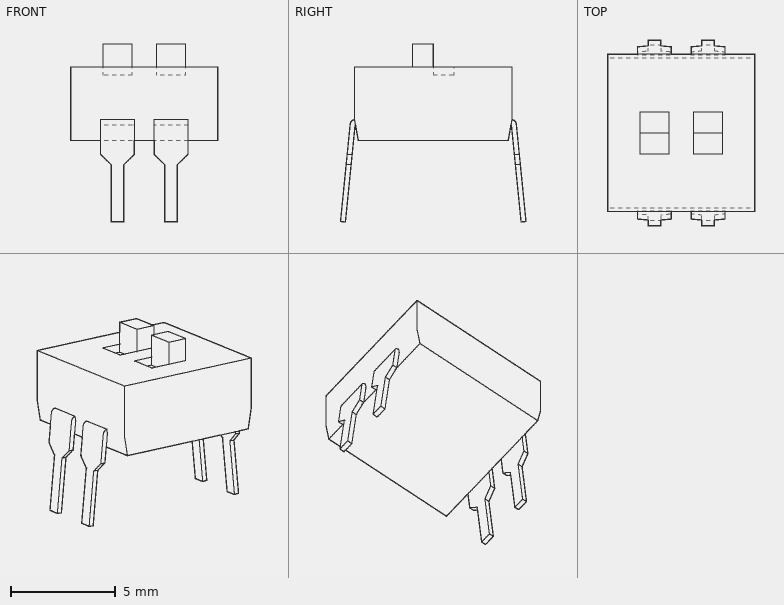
import cadquery as cq
import math

pin_span = 8.85
total_height = 8.5

body_width = 7.01
body_length = 7.505
body_height = 3.51
knob_height = 1.1
taper_height = 1.0
taper_inset = 0.18
body_top = total_height - knob_height
body_bottom = body_top - body_height
taper_top = body_bottom + taper_height

pitch = 2.55
knob_width = 1.4
slot_length = 2.0
slot_depth = 0.4
knob_length = slot_length / 2
switch_positions = (-pitch / 2, pitch / 2)

pin_thickness = 0.25
pin_tilt = math.radians(5.7)
shoulder_width = 1.62
tail_width = 0.6
shoulder_bottom = 3.22
tail_top = 2.735
stub_embed = 0.35

bend_z = taper_top - pin_thickness
outer_y = pin_thickness * math.cos(pin_tilt)
outer_z = pin_thickness * math.sin(pin_tilt)
bend_y = pin_span / 2 - outer_y - bend_z * math.tan(pin_tilt)


def make_body():
    """Housing whose lower front and back faces taper inwards."""
    half = body_length / 2
    foot = half - taper_inset
    return (
        cq.Workplane("YZ")
        .moveTo(-foot, body_bottom)
        .lineTo(foot, body_bottom)
        .lineTo(half, taper_top)
        .lineTo(half, body_top)
        .lineTo(-half, body_top)
        .lineTo(-half, taper_top)
        .close()
        .extrude(body_width / 2, both=True)
    )


def make_slot(x):
    """Volume of the shallow slot in which a knob slides."""
    return (
        cq.Workplane("XY", origin=(x, 0, body_top))
        .rect(knob_width, slot_length)
        .extrude(-slot_depth)
    )


def make_knob(x):
    """Knob filling the -Y half of its slot."""
    return (
        cq.Workplane("XY", origin=(x, -knob_length / 2, body_top - slot_depth))
        .rect(knob_width, knob_length)
        .extrude(slot_depth + knob_height)
    )


def make_pin():
    """Splayed pin on the +Y side, centred on X = 0."""
    bend_middle = (math.pi / 2 + pin_tilt) / 2 - pin_tilt
    tip_inner_y = bend_y + bend_z * math.tan(pin_tilt)
    side = (
        cq.Workplane("YZ")
        .moveTo(bend_y - stub_embed, taper_top)
        .lineTo(bend_y, taper_top)
        .threePointArc(
            (
                bend_y + pin_thickness * math.cos(bend_middle),
                bend_z + pin_thickness * math.sin(bend_middle),
            ),
            (bend_y + outer_y, bend_z + outer_z),
        )
        .lineTo(tip_inner_y + outer_y, outer_z)
        .lineTo(tip_inner_y, 0)
        .lineTo(bend_y, bend_z)
        .lineTo(bend_y - stub_embed, bend_z)
        .close()
        .extrude(shoulder_width / 2, both=True)
    )
    front = (
        cq.Workplane("XZ")
        .moveTo(-shoulder_width / 2, taper_top)
        .lineTo(shoulder_width / 2, taper_top)
        .lineTo(shoulder_width / 2, shoulder_bottom)
        .lineTo(tail_width / 2, tail_top)
        .lineTo(tail_width / 2, 0)
        .lineTo(-tail_width / 2, 0)
        .lineTo(-tail_width / 2, tail_top)
        .lineTo(-shoulder_width / 2, shoulder_bottom)
        .close()
        .extrude(-pin_span / 2)
    )
    return side.intersect(front)


result = make_body()
back_pin = make_pin()
front_pin = back_pin.mirror("XZ")
for x in switch_positions:
    result = result.cut(make_slot(x)).union(make_knob(x))
    for pin in (back_pin, front_pin):
        result = result.union(pin.translate((x, 0, 0)))